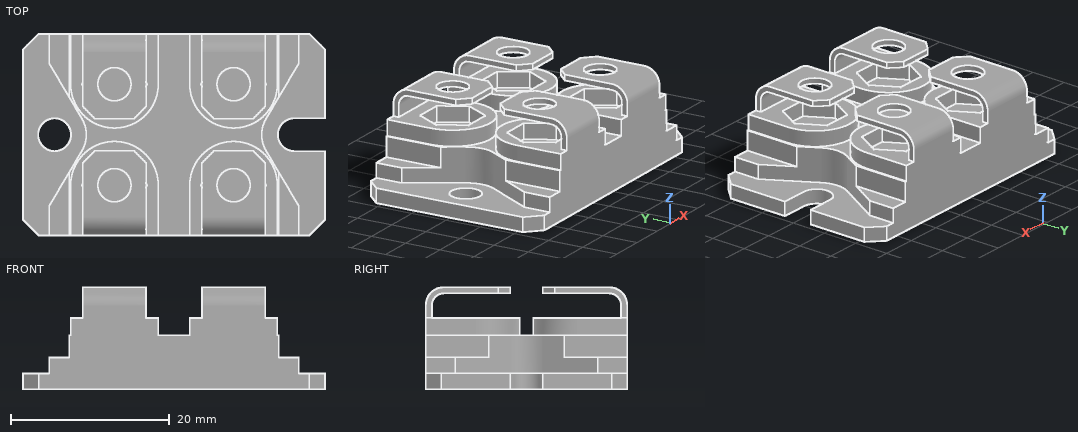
import cadquery as cq
import math

length = 38.1
width = 25.4
base_top = 2.02
step_top = 4.05
block_top = 6.82
pad_top = 9.0
tab_top = 12.88

corner_chamfer = 2.0
mount_x = 15.05
slot_x = 15.15
mount_radius = 2.05

step_length = 31.47
block_length = 26.45
scoop_radius = 4.0
scoop_mouth = 9.0

terminal_x = 7.5
terminal_y = 6.35
pad_radius = 5.52
nut_across_corners = 8.23
nut_depth = pad_top - block_top

tab_width = 8.0
tab_reach = 10.65
tab_thickness = 0.8
tab_bend_radius = 2.3
tab_chamfer = 1.52
tab_hole_diameter = 4.2


def level(size_x, bottom, top):
    """Full-width rectangular layer between two heights."""
    return cq.Workplane("XY", origin=(0, 0, bottom)).rect(size_x, width).extrude(top - bottom)


def base_plate():
    """Chamfered plate with a mounting hole at -X and an open mounting slot at +X."""
    plate = level(length, 0, base_top).edges("|Z").chamfer(corner_chamfer)
    holes = (
        cq.Workplane("XY")
        .pushPoints([(-mount_x, 0), (slot_x, 0)])
        .circle(mount_radius)
        .extrude(base_top)
    )
    slot_length = length / 2 - slot_x
    slot = (
        cq.Workplane("XY")
        .center(slot_x + slot_length / 2, 0)
        .rect(slot_length, 2 * mount_radius)
        .extrude(base_top)
    )
    return plate.cut(holes).cut(slot)


def scoop():
    """Flared clearance at +X: an arc about the mounting point with tangent sides."""
    mouth_x = step_length / 2
    mouth_dx = mouth_x - mount_x
    mouth_distance = math.hypot(mouth_dx, scoop_mouth)
    tangent_angle = math.atan2(scoop_mouth, mouth_dx) + math.acos(scoop_radius / mouth_distance)
    tangent_x = mount_x + scoop_radius * math.cos(tangent_angle)
    tangent_y = scoop_radius * math.sin(tangent_angle)
    return (
        cq.Workplane("XY", origin=(0, 0, base_top))
        .moveTo(mouth_x, -scoop_mouth)
        .lineTo(tangent_x, -tangent_y)
        .threePointArc((mount_x - scoop_radius, 0), (tangent_x, tangent_y))
        .lineTo(mouth_x, scoop_mouth)
        .close()
        .extrude(block_top - base_top)
    )


def stepped_block():
    """Two stacked layers with a scoop at each end."""
    block = level(step_length, base_top, step_top).union(level(block_length, step_top, block_top))
    return block.cut(scoop()).cut(scoop().mirror("YZ"))


def pad():
    """Round-nosed pad at +X +Y, running out to the long side."""
    return (
        cq.Workplane("XY", origin=(terminal_x, 0, block_top))
        .moveTo(-pad_radius, width / 2)
        .lineTo(-pad_radius, terminal_y)
        .threePointArc((0, terminal_y - pad_radius), (pad_radius, terminal_y))
        .lineTo(pad_radius, width / 2)
        .close()
        .extrude(pad_top - block_top)
    )


def nut_pocket():
    """Hexagonal pocket at +X +Y with two corners along X."""
    return (
        cq.Workplane("XY", origin=(terminal_x, terminal_y, pad_top))
        .polygon(6, nut_across_corners)
        .extrude(-nut_depth)
    )


def tab():
    """Strip at +X +Y that rises from the pad and bends inward over the nut."""
    outer_y = width / 2
    tip_y = outer_y - tab_reach
    inner_radius = tab_bend_radius - tab_thickness
    bend_y = outer_y - tab_bend_radius
    bend_z = tab_top - tab_bend_radius
    diagonal = math.sqrt(0.5)
    strip = (
        cq.Workplane("YZ", origin=(terminal_x, 0, 0))
        .moveTo(outer_y, pad_top)
        .lineTo(outer_y, bend_z)
        .threePointArc(
            (bend_y + tab_bend_radius * diagonal, bend_z + tab_bend_radius * diagonal),
            (bend_y, tab_top),
        )
        .lineTo(tip_y, tab_top)
        .lineTo(tip_y, tab_top - tab_thickness)
        .lineTo(bend_y, tab_top - tab_thickness)
        .threePointArc(
            (bend_y + inner_radius * diagonal, bend_z + inner_radius * diagonal),
            (outer_y - tab_thickness, bend_z),
        )
        .lineTo(outer_y - tab_thickness, pad_top)
        .close()
        .extrude(tab_width / 2, both=True)
        .edges("|Z and <Y")
        .chamfer(tab_chamfer)
    )
    hole = (
        cq.Workplane("XY", origin=(terminal_x, terminal_y, tab_top))
        .circle(tab_hole_diameter / 2)
        .extrude(-tab_thickness)
    )
    return strip.cut(hole)


def at_four_terminals(shape):
    """The shape together with its mirror images across both centre planes."""
    pair = shape.union(shape.mirror("YZ"))
    return pair.union(pair.mirror("XZ"))


result = (
    base_plate()
    .union(stepped_block())
    .union(at_four_terminals(pad()))
    .cut(at_four_terminals(nut_pocket()))
    .union(at_four_terminals(tab()))
)